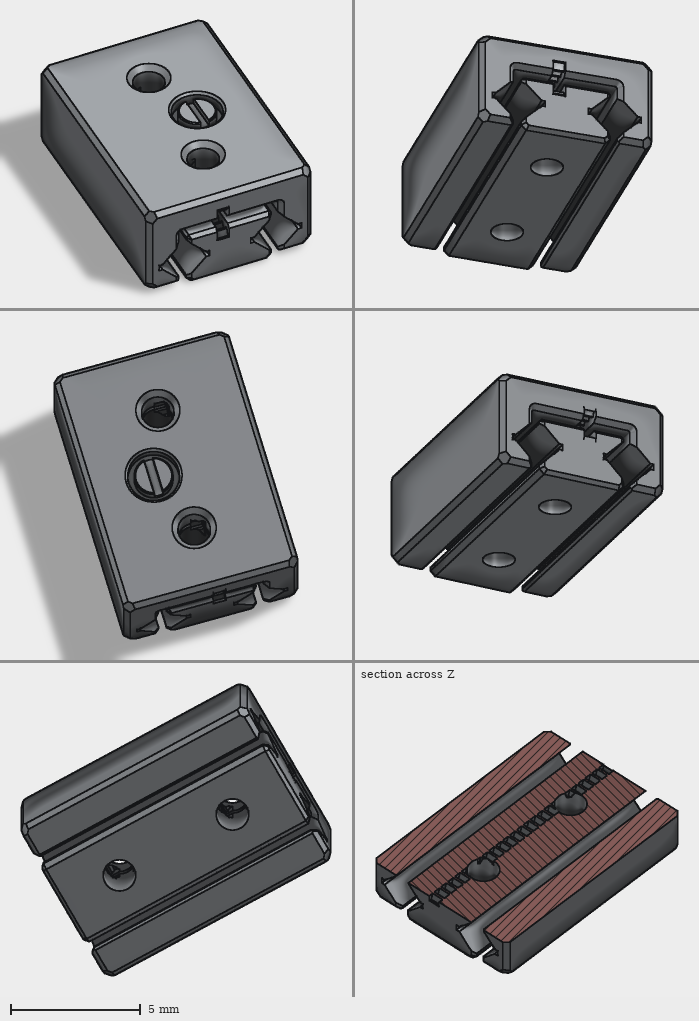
import cadquery as cq
import math


length = 10.0
width = 7.0
height = 4.0

carriage_bottom = 0.15
edge_chamfer = 0.2
corner_cut = 3 * edge_chamfer
corner_cut_x = 2.4 * edge_chamfer

cavity_half_width = 2.1
cavity_top = 2.7
cavity_radius = 0.1
lip_chamfer = 0.1

rail_half_width = 1.8
rail_top = 2.35
rail_end_chamfer = 0.15
rail_top_chamfer = 0.1
rail_bottom_chamfer = 0.2

groove_z = 1.25
groove_depth = 0.775
relief_depth = 0.15
relief_half_height = 0.125

rack_y = -0.3
rack_width = 0.5
rack_module = 0.125
rack_pitch = math.pi * rack_module
tooth_height = 2.25 * rack_module
tooth_lean = tooth_height * math.tan(math.radians(20))
tooth_tip_width = 0.09
tooth_tip_depth = 0.31
first_tooth_offset = 0.315

hole_x = 2.5
hole_diameter = 1.25
countersink_diameter = 1.7

screw_y = 0.9
pocket_diameter = 2.0
pocket_chamfer = 0.1
pocket_floor = height - 0.5
head_diameter = 1.5
head_height = 0.45
head_chamfer = 0.05
driver_slot_width = 0.35
driver_slot_depth = 0.25
stem_diameter = 0.7
stem_bottom = 2.45

SIDES = (-1, 1)


def slab(slab_width, bottom, top):
    """Full-length box, centred on X and Y."""
    box = cq.Workplane("XY").box(length, slab_width, top - bottom, centered=(True, True, False))
    return box.translate((0, 0, bottom))


def cylinder(x, y, diameter, bottom, top):
    """Upright cylinder between two heights."""
    return cq.Workplane("XY", origin=(x, y, bottom)).circle(diameter / 2).extrude(top - bottom)


def countersink(x, y, diameter, top_diameter):
    """45 degree cone that opens a round hole up to top_diameter at the top face."""
    depth = (top_diameter - diameter) / 2
    base = cq.Vector(x, y, height - depth)
    return cq.Workplane(obj=cq.Solid.makeCone(diameter / 2, top_diameter / 2, depth, pnt=base))


def v_groove(side, mouth_y):
    """Groove cutter running along X; side is the direction in which the groove deepens."""
    apex_y = mouth_y + side * groove_depth
    relief_y = apex_y + side * relief_depth
    mouth_half_height = relief_half_height + groove_depth
    profile = [
        (mouth_y, groove_z - mouth_half_height),
        (apex_y, groove_z - relief_half_height),
        (relief_y, groove_z - relief_half_height),
        (relief_y, groove_z + relief_half_height),
        (apex_y, groove_z + relief_half_height),
        (mouth_y, groove_z + mouth_half_height),
    ]
    return cq.Workplane("YZ").polyline(profile).close().extrude(length / 2, both=True)


def rack_cutter(surface_z, direction):
    """Slot down to the tooth tips plus the gaps between teeth; direction is +1 up or -1 down."""
    tip_z = surface_z + direction * tooth_tip_depth
    root_z = tip_z + direction * tooth_height
    plane = cq.Workplane("XZ", origin=(0, rack_y, 0))

    def across_rack(outline):
        return plane.polyline(outline).close().extrude(rack_width / 2, both=True)

    end_x = length / 2
    cutter = across_rack([(-end_x, surface_z), (end_x, surface_z), (end_x, tip_z), (-end_x, tip_z)])
    first_gap_x = -end_x + first_tooth_offset - rack_pitch / 2
    gap_half_width = (rack_pitch - tooth_tip_width) / 2
    root_half_width = gap_half_width - tooth_lean
    for i in range(math.ceil(length / rack_pitch) + 1):
        x = first_gap_x + i * rack_pitch
        gap = [
            (x - gap_half_width, tip_z),
            (x + gap_half_width, tip_z),
            (x + root_half_width, root_z),
            (x - root_half_width, root_z),
        ]
        cutter = cutter.union(across_rack(gap))
    return cutter


def corner_pyramid(x_side, y_side, z_side):
    """Cutter that leaves a flat facet on one corner of the carriage block."""
    x = x_side * length / 2
    y = y_side * width / 2
    z = height if z_side > 0 else carriage_bottom
    corner = cq.Vector(x, y, z)
    on_x = cq.Vector(x - x_side * corner_cut_x, y, z)
    on_y = cq.Vector(x, y - y_side * corner_cut, z)
    on_z = cq.Vector(x, y, z - z_side * corner_cut)
    triangles = [(on_x, on_y, on_z), (corner, on_x, on_y), (corner, on_y, on_z), (corner, on_z, on_x)]
    faces = [cq.Face.makeFromWires(cq.Wire.makePolygon(points, close=True)) for points in triangles]
    return cq.Workplane(obj=cq.Solid.makeSolid(cq.Shell.makeShell(faces)))


def carriage_block():
    """Outer block with chamfered edges and faceted corners."""
    block = slab(width, carriage_bottom, height).edges().chamfer(edge_chamfer)
    for x_side in SIDES:
        for y_side in SIDES:
            for z_side in SIDES:
                block = block.cut(corner_pyramid(x_side, y_side, z_side))
    return block


def cavity_outline(x, growth):
    """Cavity cross-section at x, offset outward by growth."""
    half = cavity_half_width + growth
    top = cavity_top + growth
    radius = cavity_radius + growth
    outline = (
        cq.Workplane("YZ", origin=(x, 0, 0))
        .moveTo(-half, carriage_bottom)
        .lineTo(-half, top - radius)
        .radiusArc((-half + radius, top), radius)
        .lineTo(half - radius, top)
        .radiusArc((half, top - radius), radius)
        .lineTo(half, carriage_bottom)
        .close()
    )
    return outline.val()


def cavity_mouth(side):
    """Bevel around the cavity where it opens through an end face."""
    outer = cavity_outline(side * length / 2, edge_chamfer)
    inner = cavity_outline(side * (length / 2 - edge_chamfer), 0)
    return cq.Workplane(obj=cq.Solid.makeLoft([outer, inner], True))


def lip_bevel(side):
    """Triangular cutter for the bottom edge of the cavity wall."""
    wall_y = side * cavity_half_width
    triangle = [
        (wall_y, carriage_bottom),
        (wall_y + side * lip_chamfer, carriage_bottom),
        (wall_y, carriage_bottom + lip_chamfer),
    ]
    return cq.Workplane("YZ").polyline(triangle).close().extrude(length / 2, both=True)


def make_carriage():
    cavity = slab(2 * cavity_half_width, carriage_bottom, cavity_top)
    cavity = cavity.edges("|X and >Z").fillet(cavity_radius)
    body = carriage_block().cut(cavity)
    for side in SIDES:
        body = body.cut(lip_bevel(side))
        body = body.cut(cavity_mouth(side))
        body = body.cut(v_groove(side, side * cavity_half_width))
        body = body.cut(cylinder(side * hole_x, 0, hole_diameter, cavity_top, height))
        body = body.cut(countersink(side * hole_x, 0, hole_diameter, countersink_diameter))
    body = body.cut(rack_cutter(cavity_top, 1))
    body = body.cut(cylinder(0, screw_y, pocket_diameter, pocket_floor, height))
    body = body.cut(countersink(0, screw_y, pocket_diameter, pocket_diameter + 2 * pocket_chamfer))
    return body.cut(cylinder(0, screw_y, stem_diameter, cavity_top, pocket_floor))


def make_rail():
    body = slab(2 * rail_half_width, 0, rail_top)
    body = body.edges("|X and <Z").chamfer(rail_bottom_chamfer)
    body = body.edges("|X and >Z").chamfer(rail_top_chamfer)
    body = body.faces("<X or >X").chamfer(rail_end_chamfer)
    for side in SIDES:
        body = body.cut(v_groove(-side, side * rail_half_width))
        body = body.cut(cylinder(side * hole_x, 0, hole_diameter, 0, rail_top))
    return body.cut(rack_cutter(rail_top, -1))


def make_screw():
    head_top = pocket_floor + head_height
    head = cylinder(0, screw_y, head_diameter, pocket_floor, head_top)
    head = head.faces(">Z").edges().chamfer(head_chamfer)
    driver_slot = (
        cq.Workplane("XY", origin=(0, screw_y, head_top - driver_slot_depth))
        .rect(head_diameter, driver_slot_width)
        .extrude(driver_slot_depth)
    )
    stem = cylinder(0, screw_y, stem_diameter, stem_bottom, pocket_floor)
    return head.cut(driver_slot).union(stem)


carriage = make_carriage()
rail = make_rail()
screw = make_screw()
bodies = [body.solids().val() for body in (carriage, rail, screw)]
result = cq.Compound.makeCompound(bodies)